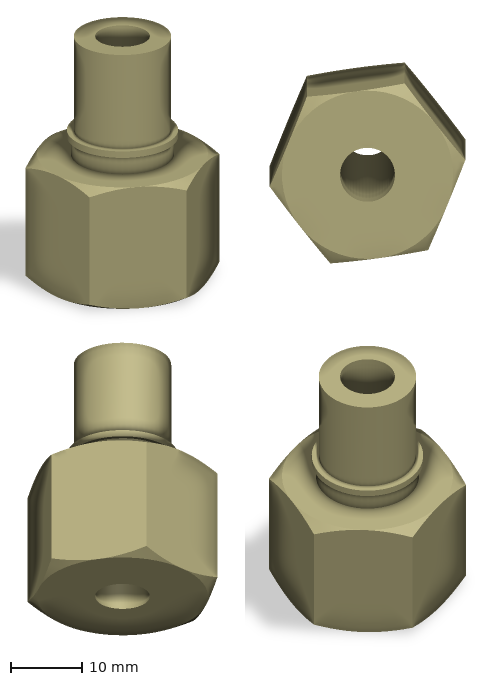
import cadquery as cq
import math

total_height = 36.5
across_flats = 24.0
nut_height = 18.5
chamfer_angle = 30.0
neck_diameter = 14.5
collar_diameter = 15.65
collar_bottom = 21.25
collar_thickness = 1.0
tube_diameter = 13.7
bore_diameter = 7.7

across_corners = across_flats / math.cos(math.radians(30))
collar_top = collar_bottom + collar_thickness


def cylinder(diameter, bottom, top):
    """Cylinder on the Z axis between two heights."""
    return cq.Workplane("XY").workplane(offset=bottom).circle(diameter / 2).extrude(top - bottom)


def chamfered_nut():
    """Hexagon with flats facing +X and -X and conical chamfers at both ends."""
    hexagon = cq.Workplane("XY").polygon(6, across_corners).extrude(nut_height)
    hexagon = hexagon.rotate((0, 0, 0), (0, 0, 1), 30)
    face_radius = across_flats / 2
    corner_radius = across_corners / 2
    chamfer_height = (corner_radius - face_radius) * math.tan(math.radians(chamfer_angle))
    envelope = (
        cq.Workplane("XZ")
        .moveTo(0, 0)
        .lineTo(face_radius, 0)
        .lineTo(corner_radius, chamfer_height)
        .lineTo(corner_radius, nut_height - chamfer_height)
        .lineTo(face_radius, nut_height)
        .lineTo(0, nut_height)
        .close()
        .revolve(360, (0, 0, 0), (0, 1, 0))
    )
    return hexagon.intersect(envelope)


neck = cylinder(neck_diameter, nut_height, collar_bottom)
collar = cylinder(collar_diameter, collar_bottom, collar_top)
tube = cylinder(tube_diameter, collar_top, total_height)
bore = cylinder(bore_diameter, 0, total_height)

result = chamfered_nut().union(neck).union(collar).union(tube).cut(bore)